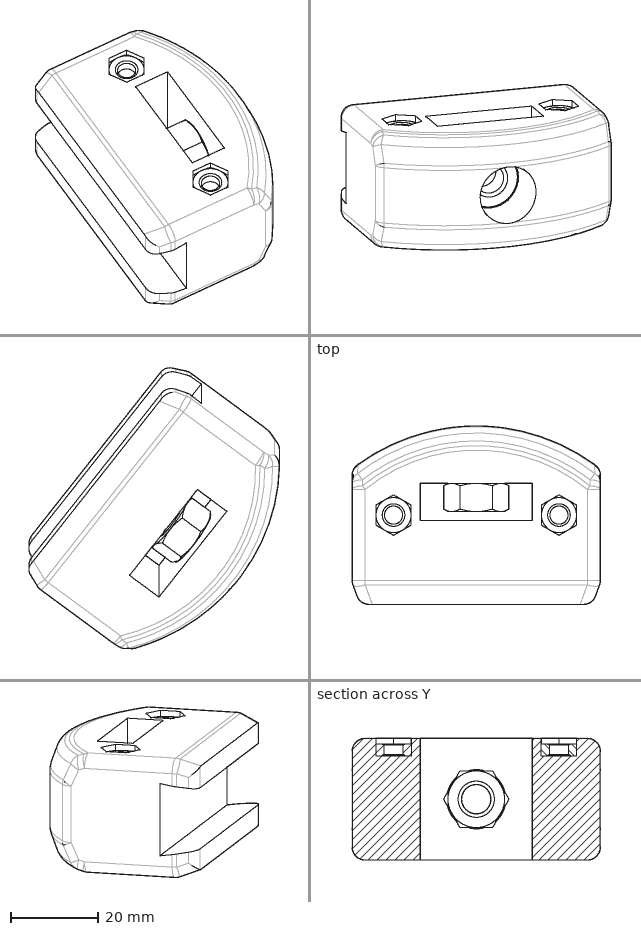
import cadquery as cq
import math


WIDTH = 57.0
DEPTH = 41.0
HEIGHT = 28.0
BACK_RADIUS = 46.1
TAPER_ANGLE = 20.0
TAPER_LENGTH = 5.0
EDGE_RADIUS = 3.0
TAPER_DROP = TAPER_LENGTH * math.tan(math.radians(TAPER_ANGLE))

GROOVE_DEPTH = 8.5
GROOVE_MOUTH_HEIGHT = 14.35
GROOVE_FLOOR_HEIGHT = 17.0

SLOT_LENGTH = 25.65
SLOT_FRONT_Y = 19.3
SLOT_BACK_Y = 27.8

BACK_HOLE_DIAMETER = 13.5

LARGE_NUT_FLATS = 13.0
LARGE_NUT_THICKNESS = 6.5
LARGE_NUT_BORE = 6.65
LARGE_NUT_BORE_MOUTH = 8.3

SMALL_NUT_FLATS = 8.05
SMALL_NUT_THICKNESS = 2.7
SMALL_NUT_BORE = 4.15
SMALL_NUT_BORE_MOUTH = 5.2
SMALL_NUT_SPACING = 37.95
SMALL_NUT_Y = 20.5
POCKET_DEPTH = 4.0
POCKET_FLOOR_Z = HEIGHT / 2 - POCKET_DEPTH
SIDES = (-1, 1)

NUT_CHAMFER_ANGLE = 30.0
HEXAGON_HALF_CORNER = math.pi / 6


def hexagon_prism(flats, thickness):
    """Hexagonal prism standing on the XY plane, with corners on the X axis."""
    corners = flats / math.cos(HEXAGON_HALF_CORNER)
    return cq.Workplane("XY").polygon(6, corners).extrude(thickness)


def nut_blank(flats, thickness, bore, bore_mouth):
    """Hexagon nut standing on the XY plane, chamfered on both ends of its corners and bore."""
    slope = math.tan(math.radians(NUT_CHAMFER_ANGLE))
    flat_radius = flats / 2
    corner_radius = flat_radius / math.cos(HEXAGON_HALF_CORNER)
    corner_drop = (corner_radius - flat_radius) * slope
    bore_drop = (bore_mouth - bore) / 2 * slope
    ring = (
        cq.Workplane("XZ")
        .moveTo(bore_mouth / 2, 0)
        .lineTo(flat_radius, 0)
        .lineTo(corner_radius, corner_drop)
        .lineTo(corner_radius, thickness - corner_drop)
        .lineTo(flat_radius, thickness)
        .lineTo(bore_mouth / 2, thickness)
        .lineTo(bore / 2, thickness - bore_drop)
        .lineTo(bore / 2, bore_drop)
        .close()
        .revolve(360, (0, 0, 0), (0, 1, 0))
    )
    return hexagon_prism(flats, thickness).intersect(ring)


def plan_prism():
    """Outline seen along Z: straight sides tapering in at the front, bowed back."""
    half_width = WIDTH / 2
    corner_y = DEPTH - BACK_RADIUS + math.sqrt(BACK_RADIUS**2 - half_width**2)
    return (
        cq.Workplane("XY")
        .workplane(offset=-HEIGHT / 2)
        .moveTo(-half_width + TAPER_DROP, 0)
        .lineTo(half_width - TAPER_DROP, 0)
        .lineTo(half_width, TAPER_LENGTH)
        .lineTo(half_width, corner_y)
        .threePointArc((0, DEPTH), (-half_width, corner_y))
        .lineTo(-half_width, TAPER_LENGTH)
        .close()
        .extrude(HEIGHT)
    )


def front_taper_prism():
    """Profile seen along X, with the top and bottom tapering towards the front face."""
    half_height = HEIGHT / 2
    return (
        cq.Workplane("YZ")
        .workplane(offset=-WIDTH / 2)
        .moveTo(0, -half_height + TAPER_DROP)
        .lineTo(TAPER_LENGTH, -half_height)
        .lineTo(DEPTH, -half_height)
        .lineTo(DEPTH, half_height)
        .lineTo(TAPER_LENGTH, half_height)
        .lineTo(0, half_height - TAPER_DROP)
        .close()
        .extrude(WIDTH)
    )


def back_taper_disc():
    """Disc about the axis of the bowed back, its rim tapered in two steps above and below."""
    half_height = HEIGHT / 2
    slope = TAPER_DROP / TAPER_LENGTH
    rim_half_height = half_height - TAPER_DROP - TAPER_LENGTH
    step_inset = TAPER_LENGTH / (1 / slope - slope)
    step_half_height = rim_half_height + step_inset / slope
    return (
        cq.Workplane("XZ")
        .moveTo(0, -half_height)
        .lineTo(BACK_RADIUS - TAPER_LENGTH, -half_height)
        .lineTo(BACK_RADIUS - step_inset, -step_half_height)
        .lineTo(BACK_RADIUS, -rim_half_height)
        .lineTo(BACK_RADIUS, rim_half_height)
        .lineTo(BACK_RADIUS - step_inset, step_half_height)
        .lineTo(BACK_RADIUS - TAPER_LENGTH, half_height)
        .lineTo(0, half_height)
        .close()
        .revolve(360, (0, 0, 0), (0, 1, 0))
        .translate((0, DEPTH - BACK_RADIUS, 0))
    )


def housing_blank():
    """Tapered block, rounded on every edge but the top and bottom edges of the front face."""
    block = plan_prism().intersect(front_taper_prism()).intersect(back_taper_disc())
    front_uprights = block.faces("<Y").edges("|Z")
    return block.edges("not <Y").add(front_uprights).fillet(EDGE_RADIUS)


def front_groove():
    """Groove across the full width that widens from its mouth to its floor."""
    return (
        cq.Workplane("YZ")
        .workplane(offset=-WIDTH / 2)
        .moveTo(0, -GROOVE_MOUTH_HEIGHT / 2)
        .lineTo(GROOVE_DEPTH, -GROOVE_FLOOR_HEIGHT / 2)
        .lineTo(GROOVE_DEPTH, GROOVE_FLOOR_HEIGHT / 2)
        .lineTo(0, GROOVE_MOUTH_HEIGHT / 2)
        .close()
        .extrude(WIDTH)
    )


def nut_slot():
    """Rectangular slot through the full height."""
    slot_width = SLOT_BACK_Y - SLOT_FRONT_Y
    slot_center_y = (SLOT_FRONT_Y + SLOT_BACK_Y) / 2
    return cq.Workplane("XY", origin=(0, slot_center_y, 0)).box(SLOT_LENGTH, slot_width, HEIGHT)


def back_hole():
    """Round hole along Y from the slot out through the bowed back."""
    return (
        cq.Workplane("XZ", origin=(0, SLOT_BACK_Y, 0))
        .circle(BACK_HOLE_DIAMETER / 2)
        .extrude(SLOT_BACK_Y - DEPTH)
    )


def in_pocket(body, side):
    """Body turned to have corners along Y and set on the pocket floor at one side."""
    place = (side * SMALL_NUT_SPACING / 2, SMALL_NUT_Y, POCKET_FLOOR_Z)
    return body.rotate((0, 0, 0), (0, 0, 1), 90).translate(place)


def make_housing():
    """Housing with its groove, slot, back hole and two nut pockets."""
    housing = housing_blank().cut(front_groove()).cut(nut_slot()).cut(back_hole())
    for side in SIDES:
        housing = housing.cut(in_pocket(hexagon_prism(SMALL_NUT_FLATS, POCKET_DEPTH), side))
    return housing


def make_large_nut():
    """Large nut with its bore along Y, against the back wall of the slot."""
    nut = nut_blank(LARGE_NUT_FLATS, LARGE_NUT_THICKNESS, LARGE_NUT_BORE, LARGE_NUT_BORE_MOUTH)
    return nut.rotate((0, 0, 0), (1, 0, 0), 90).translate((0, SLOT_BACK_Y, 0))


def make_small_nut(side):
    """Small nut resting on the floor of the pocket at one side."""
    nut = nut_blank(SMALL_NUT_FLATS, SMALL_NUT_THICKNESS, SMALL_NUT_BORE, SMALL_NUT_BORE_MOUTH)
    return in_pocket(nut, side)


housing = make_housing()
large_nut = make_large_nut()
small_nuts = [make_small_nut(side) for side in SIDES]

result = cq.Compound.makeCompound(
    [housing.val(), large_nut.val(), *[nut.val() for nut in small_nuts]]
)